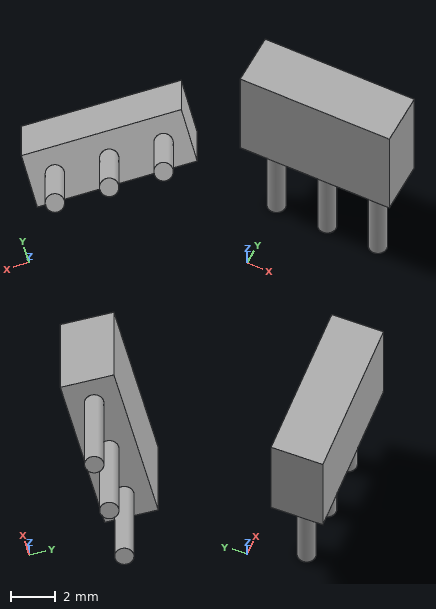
import cadquery as cq

HOUSING_LENGTH = 7.5
HOUSING_WIDTH = 2.5
TOTAL_HEIGHT = 10.3
PIN_LENGTH = 5.1
HOUSING_HEIGHT = TOTAL_HEIGHT - PIN_LENGTH

PIN_DIAMETER = 0.88
PIN_PITCH = 2.54
PIN_COUNT = 3


def make_housing():
    return cq.Workplane("XY").box(
        HOUSING_LENGTH, HOUSING_WIDTH, HOUSING_HEIGHT, centered=(True, True, False)
    )


def make_pin(x):
    """Round pin whose top face touches the underside of the housing."""
    return cq.Workplane("XY").center(x, 0).circle(PIN_DIAMETER / 2).extrude(-PIN_LENGTH)


housing = make_housing()

first_pin_x = -PIN_PITCH * (PIN_COUNT - 1) / 2
pins = [make_pin(first_pin_x + index * PIN_PITCH) for index in range(PIN_COUNT)]

result = cq.Compound.makeCompound([housing.val(), *[pin.val() for pin in pins]])